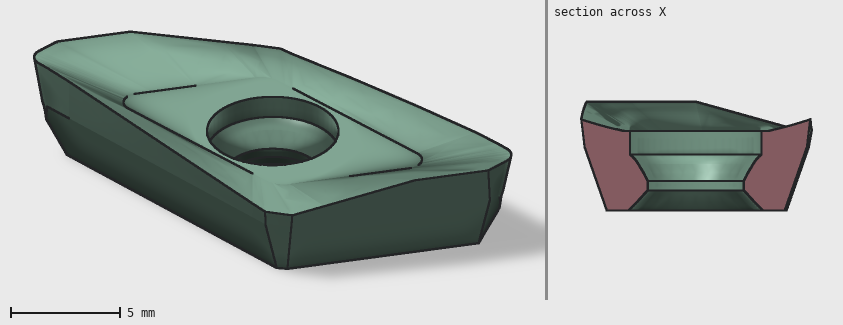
import cadquery as cq
import math


top_z = 5.0
seat_z = 3.65
blunt_z = 3.7
band_z = 2.9

half_length = 11
half_width = 5.32
nose_radius = 0.8
nose_y = -4.95
base_tip = (-9.42, -3.94, 0)
base_blunt = (4.45, -4.15, 0)
base_end_y = -3.87
end_slope = 0.585
rim_start_y = -3.0
band_tip_x = -10.47
nose_foot_z = 1.91
blunt_x = 4.86
end_corner_y = -4.66
band_end_x = 4.73
band_shares = (0, 0.03, 0.1, 0.94, 1)
crease_share = 0.65
low_share = 0.26
nose_foot_y = -4.45
nose_foot_bulge_z = 2.46

seat_half_width = 3.3
seat_corner_x = 7.44
sharp_radius = 0.8
blunt_radius = 1.1
seat_start_x = -6.38
seat_edge_end_x = 2.0
seat_blunt_x = 2.5
seat_peak_x = 5.32

bore_radius = 2.2
throat_radius = 2.62
counterbore_radius = 3.01
counterbore_floor_z = 2.57
throat_z = 2.11
bore_top_z = 1.36
bore_bottom_z = 0.92
base_flare_radius = 3.08

end_taper = (half_length + base_tip[0] + end_slope * (rim_start_y - base_tip[1])) / top_z
side_skew = (base_blunt[1] - base_tip[1]) / (base_blunt[0] - base_tip[0])
band_side_x = band_tip_x + nose_radius
side_taper = (base_tip[1] + side_skew * (band_side_x - base_tip[0]) - nose_y) / band_z
nose_taper = (base_tip[0] - band_tip_x) / band_z


def half_turn(p):
    return (-p[0], -p[1], p[2])


def between(a, b, share):
    return tuple(u + (v - u) * share for u, v in zip(a, b))


def on_end(y, z):
    """Point on the slanted flank at +X."""
    return (-base_tip[0] + end_slope * (y + base_tip[1]) + end_taper * z, y, z)


def on_side(x, z):
    """Point on the lower long flank at -Y."""
    return (x, base_tip[1] + side_skew * (x - base_tip[0]) - side_taper * z, z)


def on_nose_flank(y, z):
    """Point on the small flank below the nose."""
    return (base_tip[0] - nose_taper * z, y, z)


def line(a, b):
    return cq.Edge.makeLine(cq.Vector(*a), cq.Vector(*b))


def arc(a, middle, b):
    return cq.Edge.makeThreePointArc(cq.Vector(*a), cq.Vector(*middle), cq.Vector(*b))


def round_point(center, radius, degrees):
    angle = math.radians(degrees)
    return (center[0] + radius * math.cos(angle), center[1] + radius * math.sin(angle), center[2])


def round_edge(center, radius, start, end):
    return arc(*[round_point(center, radius, a) for a in (start, (start + end) / 2, end)])


def planar(edges):
    return cq.Face.makeFromWires(cq.Wire.assembleEdges(edges))


def chain(points):
    return [line(a, b) for a, b in zip(points, points[1:])]


def strips(first, second):
    return [cq.Face.makeRuledSurface(a, b) for a, b in zip(first, second)]


nose_center = (nose_radius - half_length, nose_y + nose_radius, top_z)
rim_start = (-half_length, rim_start_y, top_z)
nose_start = round_point(nose_center, nose_radius, 180)
nose_end = round_point(nose_center, nose_radius, 270)
land_end = (-9.64, -4.97, top_z)
edge_start = (-8.16, -5.04, 4.93)
edge_middle = (-2.2, -5.21, 4.4)
edge_end = (4.05, -5.3, 3.76)
rim_blunt = (blunt_x, -half_width, blunt_z)
rim_corner = on_end(end_corner_y, blunt_z)
rim_crease = between(rim_blunt, rim_corner, crease_share)
rim_peak = on_end(0, top_z)
rim_low = between(rim_corner, rim_peak, low_share)

nose_rim = round_edge(nose_center, nose_radius, 180, 270)
side_rim = [line(nose_end, land_end), line(land_end, edge_start),
            arc(edge_start, edge_middle, edge_end), line(edge_end, rim_blunt)]
blunt_rim = chain([rim_blunt, rim_crease, rim_corner])
end_rim = chain([rim_corner, rim_low, rim_peak, half_turn(rim_start)])

end_angle = math.degrees(math.atan(1 / end_slope))
sharp_center = (-seat_corner_x + sharp_radius / math.tan(math.radians(end_angle / 2)),
                sharp_radius - seat_half_width, seat_z)
blunt_corner_x = seat_corner_x - 2 * seat_half_width * end_slope
blunt_center = (blunt_corner_x - blunt_radius * math.tan(math.radians(end_angle / 2)),
                blunt_radius - seat_half_width, seat_z)
sharp_angles = (90 + end_angle, 193, 213, 270)
blunt_angles = (270, 288, 270 + end_angle)

seat_start = (seat_start_x, (seat_corner_x + seat_start_x) / end_slope - seat_half_width, seat_z)
seat_sharp = [round_edge(sharp_center, sharp_radius, a, b)
              for a, b in zip(sharp_angles, sharp_angles[1:])]
seat_blunt = [round_edge(blunt_center, blunt_radius, a, b)
              for a, b in zip(blunt_angles, blunt_angles[1:])]
seat_side = chain([round_point(sharp_center, sharp_radius, 270),
                   (seat_edge_end_x, -seat_half_width, seat_z),
                   (seat_blunt_x, -seat_half_width, seat_z),
                   round_point(blunt_center, blunt_radius, 270)])
seat_peak = (seat_peak_x, (seat_peak_x - seat_corner_x) / end_slope + seat_half_width, seat_z)
seat_end = chain([round_point(blunt_center, blunt_radius, blunt_angles[-1]),
                  seat_peak, half_turn(seat_start)])
seat_half = ([line(seat_start, round_point(sharp_center, sharp_radius, sharp_angles[0]))]
             + seat_sharp + seat_side + seat_blunt + seat_end)
rim_half = [line(rim_start, nose_start), nose_rim] + side_rim + blunt_rim + end_rim

band_tip_y = (-band_tip_x + base_tip[0] - end_taper * band_z) / end_slope - base_tip[1]
band_start = half_turn(on_end(band_tip_y, band_z))
band_center = (band_side_x, nose_center[1], band_z)
band_nose = round_point(band_center, nose_radius, 180)
band_side = on_side(band_side_x, band_z)
base_end = on_end(base_end_y, 0)
band_blunt = on_side(band_end_x, band_z)
band_corner = between(base_end, rim_corner, band_z / blunt_z)
side_marks = [between(band_side, band_blunt, share) for share in band_shares]
band_nose_edge = round_edge(band_center, nose_radius, 180, 270)
band_side_edges = chain(side_marks)

nose_foot = on_side(base_tip[0] - nose_taper * nose_foot_z, nose_foot_z)
foot_arc = arc(band_nose, on_nose_flank(nose_foot_y, nose_foot_bulge_z), nose_foot)

faces = strips(rim_half, seat_half)
faces.append(cq.Face.makeRuledSurface(nose_rim, band_nose_edge))
faces += strips(side_rim, band_side_edges)
faces.append(cq.Face.makeRuledSurface(band_nose_edge, foot_arc))
faces.append(planar(chain([rim_start, nose_start, band_nose, band_start, rim_start])))
faces.append(planar(chain([nose_foot, base_tip, band_start, band_nose]) + [foot_arc]))
faces.append(planar(band_side_edges
                    + chain([band_blunt, base_blunt, base_tip, nose_foot, band_side])))
faces += strips(chain([base_blunt, base_end]), chain([band_blunt, band_corner]))
faces.append(cq.Face.makeRuledSurface(line(band_blunt, band_corner), line(rim_blunt, rim_corner)))
faces.append(planar(end_rim + chain([half_turn(rim_start), half_turn(band_start),
                                     half_turn(base_tip), base_end, band_corner, rim_corner])))


def full_turn(shapes):
    axis = cq.Vector(0, 0, 0), cq.Vector(0, 0, 1)
    return shapes + [shape.rotate(*axis, 180) for shape in shapes]


base_half = chain([base_tip, base_blunt, base_end, half_turn(base_tip)])
faces = full_turn(faces) + [planar(full_turn(seat_half)), planar(full_turn(base_half))]
body = cq.Solid.makeSolid(cq.Shell.makeShell(faces)).fix()

hole = (cq.Workplane("XZ")
        .lineTo(base_flare_radius, 0)
        .lineTo(bore_radius, bore_bottom_z)
        .lineTo(bore_radius, bore_top_z)
        .lineTo(throat_radius, throat_z)
        .tangentArcPoint((counterbore_radius, counterbore_floor_z), relative=False)
        .lineTo(counterbore_radius, top_z)
        .lineTo(0, top_z)
        .close()
        .revolve(360, (0, 0), (0, 1)))

result = cq.Workplane(body).cut(hole)